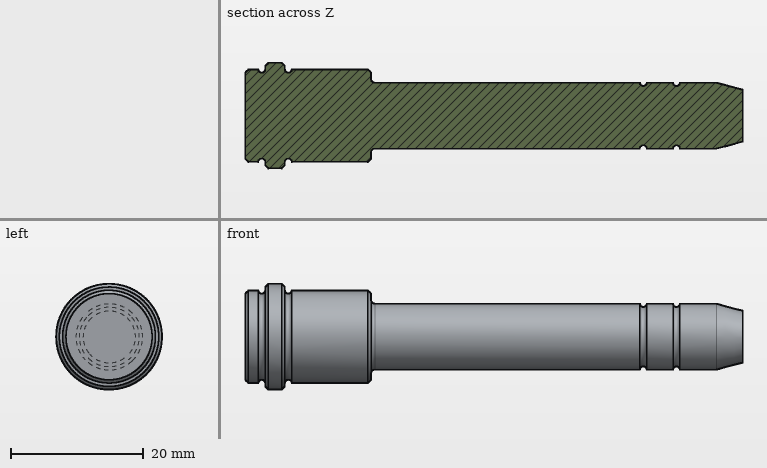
import cadquery as cq
import math

total_length = 75.0
edge_chamfer = 0.5

head_radius = 14.0 / 2
flange_radius = 16.0 / 2
flange_start = 3.0
flange_end = 6.0
head_end = 19.0

shaft_radius = 10.0 / 2
shoulder_fillet = 0.5
tip_half_angle = 15.0
tip_length = 4.0
tip_radius = shaft_radius - tip_length * math.tan(math.radians(tip_half_angle))

groove_width = 1.0
groove_depth = 0.5
collar_groove_start = flange_start - groove_width
body_groove_start = flange_end
shaft_groove_starts = (59.5, 64.5)


def cylinder_along_x(start, end, radius):
    """Solid cylinder on the X axis between two stations."""
    return cq.Workplane("YZ", origin=(start, 0, 0)).circle(radius).extrude(end - start)


def make_head():
    """Collar, flange and guide body with their outer edges chamfered."""
    collar = cylinder_along_x(0, flange_start, head_radius).faces("<X").chamfer(edge_chamfer)
    flange = cylinder_along_x(flange_start, flange_end, flange_radius).edges().chamfer(edge_chamfer)
    body = cylinder_along_x(flange_end, head_end, head_radius).faces(">X").chamfer(edge_chamfer)
    return collar.union(flange).union(body)


def make_shaft():
    """Shaft from the head to the tip, revolved, with a fillet at the head and a tapered end."""
    fillet_end = head_end + shoulder_fillet
    fillet_top = shaft_radius + shoulder_fillet
    fillet_reach = shoulder_fillet * math.cos(math.radians(45))
    profile = (
        cq.Workplane("XY")
        .moveTo(head_end, 0)
        .lineTo(head_end, fillet_top)
        .threePointArc(
            (fillet_end - fillet_reach, fillet_top - fillet_reach),
            (fillet_end, shaft_radius),
        )
        .lineTo(total_length - tip_length, shaft_radius)
        .lineTo(total_length, tip_radius)
        .lineTo(total_length, 0)
        .close()
    )
    return profile.revolve(360, (0, 0, 0), (1, 0, 0))


def make_ring_groove(start, surface_radius):
    """Ring with an arc-shaped bottom, to be cut from a cylinder of the given radius."""
    profile = (
        cq.Workplane("XY")
        .moveTo(start, surface_radius)
        .threePointArc(
            (start + groove_width / 2, surface_radius - groove_depth),
            (start + groove_width, surface_radius),
        )
        .close()
    )
    return profile.revolve(360, (0, 0, 0), (1, 0, 0))


result = make_head().union(make_shaft())
for groove_start in (collar_groove_start, body_groove_start):
    result = result.cut(make_ring_groove(groove_start, head_radius))
for groove_start in shaft_groove_starts:
    result = result.cut(make_ring_groove(groove_start, shaft_radius))